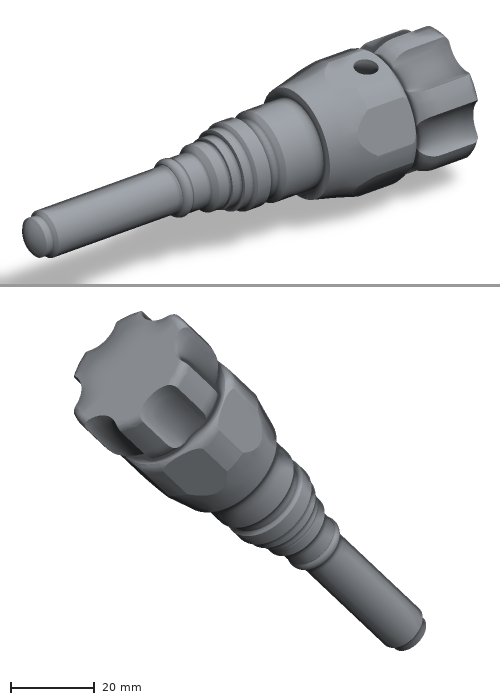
import cadquery as cq
import math

overall_length = 121.0

knob_diameter = 35.0
knob_length = 17.4
knob_rear_fillet = 1.9
knob_round_start = 11.5
knob_front_diameter = 28.3
grip_count = 6
scallop_diameter = 14.0
scallop_centre_radius = 20.5

waist_diameter = 23.7

nut_start = 18.3
nut_round_end = 20.5
nut_cone_start = 30.4
nut_end = 42.5
nut_diameter = 34.0
nut_rear_diameter = 31.5
nut_front_diameter = 28.2
flat_distance = 16.0
flat_twist = -8.0

side_hole_diameter = 6.0
side_hole_depth = 4.8
side_hole_station = 23.5
mark_diameter = 3.0
mark_depth = 0.1
mark_station = 21.4

sleeve_diameter = 23.1
sleeve_end = 53.3
sleeve_chamfer_length = 1.5
step_diameter = 20.5
step_end = 64.6
ring_diameter = 22.4
ring_start = 57.7
ring_end = 61.5
ring_bevel_length = 0.7
throat_diameter = 18.0
throat_end = 67.3
groove_diameter = 16.5
groove_end = 67.6
collar_diameter = 17.0
collar_start = 68.3
collar_end = 70.9
neck_diameter = 14.0
neck_start = 72.3
neck_end = 77.0

bead_diameter = 14.8
bead_start = 77.3
bead_end = 80.0
bead_crest = 78.5
bead_section_radius = 1.6
bead_relief_diameter = 12.5
shaft_start = 80.7

shaft_diameter = 12.0
shaft_end = 116.1
tip_diameter = 10.0
tip_start = 117.1
dome_start = 119.0


def profile_point(diameter, station):
    """Point of a half profile, X outwards and Y along the axis."""
    return (diameter / 2, -station)


def turn(profile):
    """Close a half profile that starts and ends on the axis and turn it about Y."""
    return profile.close().revolve(360, (0, 0, 0), (0, 1, 0))


def shoulder_middle(large_diameter, large_station, small_diameter, small_station):
    """Middle point of a shoulder arc that leaves the larger cylinder tangentially."""
    length = small_station - large_station
    drop = (large_diameter - small_diameter) / 2
    radius = (length**2 + drop**2) / (2 * drop)
    middle_drop = radius - math.sqrt(radius**2 - (length / 2) ** 2)
    return profile_point(large_diameter - 2 * middle_drop, large_station + length / 2)


def bead_surface_diameter(station):
    """Diameter of the rounded bead at a station."""
    section_height = math.sqrt(bead_section_radius**2 - (station - bead_crest) ** 2)
    return bead_diameter - 2 * (bead_section_radius - section_height)


def make_knob():
    """Round body with a curved front shoulder and scallops between the grips."""
    body = turn(
        cq.Workplane("XY")
        .lineTo(*profile_point(knob_diameter, 0))
        .lineTo(*profile_point(knob_diameter, knob_round_start))
        .threePointArc(
            shoulder_middle(knob_diameter, knob_round_start, knob_front_diameter, knob_length),
            profile_point(knob_front_diameter, knob_length),
        )
        .lineTo(*profile_point(0, knob_length))
    )
    body = body.faces(">Y").edges().fillet(knob_rear_fillet)
    scallops = (
        cq.Workplane("XZ")
        .polarArray(scallop_centre_radius, 0, 360, grip_count)
        .circle(scallop_diameter / 2)
        .extrude(knob_length)
    )
    return body.cut(scallops)


def flat_plane(index, station):
    """Plane on a nut flat: origin on the flat's centre line, normal pointing outwards."""
    angle = math.radians(90 + flat_twist + index * 360 / grip_count)
    outward = (math.cos(angle), 0, math.sin(angle))
    origin = (flat_distance * outward[0], -station, flat_distance * outward[2])
    return cq.Plane(origin=origin, xDir=(0, 1, 0), normal=outward)


def make_nut():
    """Cylinder with a rounded rear edge and a front cone, cut by six flats."""
    nut = turn(
        cq.Workplane("XY")
        .moveTo(*profile_point(0, nut_start))
        .lineTo(*profile_point(nut_rear_diameter, nut_start))
        .threePointArc(
            shoulder_middle(nut_diameter, nut_round_end, nut_rear_diameter, nut_start),
            profile_point(nut_diameter, nut_round_end),
        )
        .lineTo(*profile_point(nut_diameter, nut_cone_start))
        .lineTo(*profile_point(nut_front_diameter, nut_end))
        .lineTo(*profile_point(0, nut_end))
    )
    nut_middle = (nut_start + nut_end) / 2
    for index in range(grip_count):
        flat = cq.Workplane(flat_plane(index, nut_middle))
        nut = nut.cut(flat.rect(nut_end - nut_start, nut_diameter).extrude(nut_diameter))
    return nut


def flat_recess(index, station, diameter, depth):
    """Cutter for a round recess sunk square into one of the nut flats."""
    return cq.Workplane(flat_plane(index, station)).circle(diameter / 2).extrude(-depth)


def make_core():
    """Waist, stepped sleeve, bead, shaft and domed tip as one turned profile."""
    dome_height = overall_length - dome_start
    dome_radius = ((tip_diameter / 2) ** 2 + dome_height**2) / (2 * dome_height)
    half_dome_diameter = 2 * math.sqrt(dome_height * dome_radius - (dome_height / 2) ** 2)
    steps = [
        (waist_diameter, knob_length / 2),
        (waist_diameter, nut_start),
        (sleeve_diameter, nut_start),
        (sleeve_diameter, sleeve_end),
        (step_diameter, sleeve_end + sleeve_chamfer_length),
        (step_diameter, ring_start - ring_bevel_length),
        (ring_diameter, ring_start),
        (ring_diameter, ring_end),
        (step_diameter, ring_end + ring_bevel_length),
        (step_diameter, step_end),
        (throat_diameter, step_end),
        (throat_diameter, throat_end),
        (groove_diameter, throat_end),
        (groove_diameter, groove_end),
        (collar_diameter, collar_start),
        (collar_diameter, collar_end),
        (neck_diameter, neck_start),
        (neck_diameter, neck_end),
        (bead_surface_diameter(bead_start), bead_start),
    ]
    profile = cq.Workplane("XY").moveTo(*profile_point(0, knob_length / 2))
    for diameter, station in steps:
        profile = profile.lineTo(*profile_point(diameter, station))
    return turn(
        profile.threePointArc(
            profile_point(bead_diameter, bead_crest),
            profile_point(bead_surface_diameter(bead_end), bead_end),
        )
        .lineTo(*profile_point(bead_relief_diameter, bead_end))
        .lineTo(*profile_point(shaft_diameter, shaft_start))
        .lineTo(*profile_point(shaft_diameter, shaft_end))
        .lineTo(*profile_point(tip_diameter, tip_start))
        .lineTo(*profile_point(tip_diameter, dome_start))
        .threePointArc(
            profile_point(half_dome_diameter, overall_length - dome_height / 2),
            profile_point(0, overall_length),
        )
    )


result = make_knob().union(make_nut()).union(make_core())
result = result.cut(flat_recess(0, side_hole_station, side_hole_diameter, side_hole_depth))
result = result.cut(flat_recess(1, mark_station, mark_diameter, mark_depth))